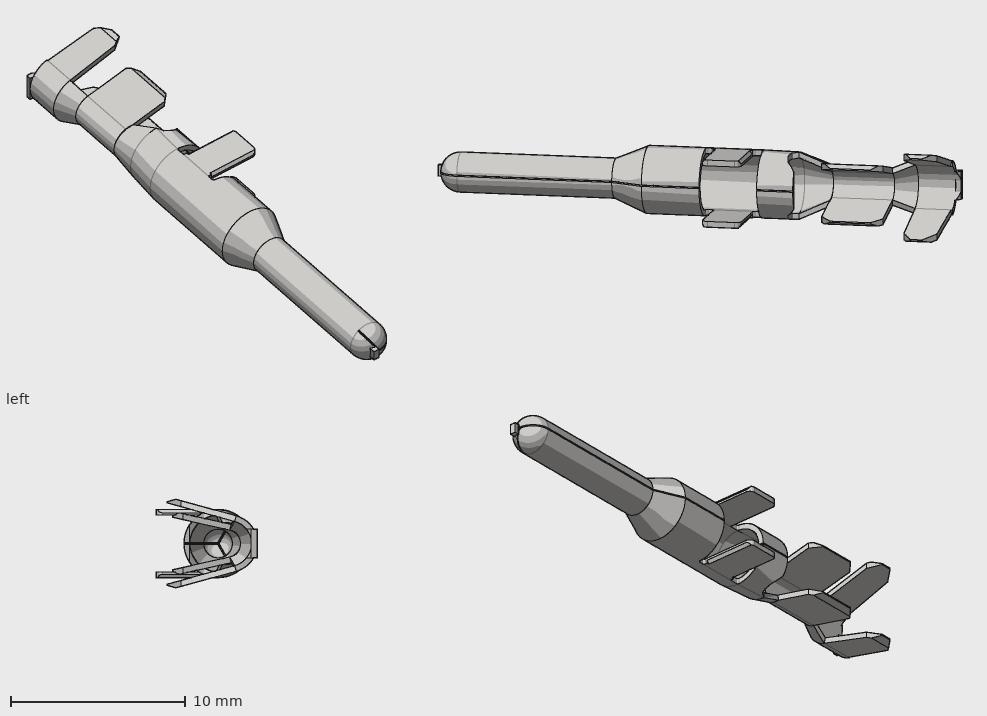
import cadquery as cq
import math


sheet = 0.34
seam_gap = 0.08
petal_gap = 0.07

insulation_start = 0.32
insulation_end = 2.50
wire_start = 3.76
wire_end = 7.34
collar_start = 9.05
collar_end = 11.16
tab_start = 11.77
tab_end = 14.07
window_end = 14.53
cone_start = 17.90
cone_end = 19.80
overall_length = 30.23

tube_radius = 1.96
pin_radius = 1.16
dome_tip = 30.02
dome_start = dome_tip - pin_radius

insulation_radius = 1.65
insulation_bottom = -2.25
insulation_tilt = math.radians(15.35)
insulation_tip = 2.92
insulation_bevel = 0.50
insulation_lean = 0.26
insulation_front_shoulder = 2.12
insulation_rear_shoulder = 2.19
insulation_tip_start = 1.28
insulation_tip_end = 1.98
wire_radius = 1.125
wire_bottom = -1.62
wire_tilt = math.radians(12.6)
wire_tip = 2.62
wire_bevel = 0.39
wire_chamfer = 0.60
bevel_depth = 0.27

funnel_low_edge = -0.25
funnel_half_width = 1.20
collar_bottom = -1.75
funnel_high_edge = 0.13
bite_top = 1.64
bite_upper_corner = (9.42, 1.25)
bite_middle = (9.56, 0.80)
bite_lower_corner = (9.42, 0.36)

tab_height = 3.55
tab_corner = 0.36
tab_bevel_width = 0.14
tab_bevel_depth = 0.20
window_floor = 0.0
window_corner = 0.12

tail_half_width = 0.82
tail_top = -1.87
tail_slope_top = -1.57
nub_half_width = 0.32
nub_bottom = -0.52
nub_top = -0.15
nub_root = 29.70


def box(x0, x1, y0, y1, z0, z1):
    """Box between two opposite corners."""
    return cq.Workplane("XY").box(x1 - x0, y1 - y0, z1 - z0, centered=False).translate((x0, y0, z0))


def section_plane(x):
    """Plane across the part at x, with local axes along Y and Z."""
    return cq.Workplane("YZ", origin=(x, 0, 0))


def side_prism(points):
    """X-Y outline extruded through the whole part along Z."""
    return cq.Workplane("XY").polyline(points).close().extrude(2 * tube_radius, both=True)


def arc_strip(plane, center, radius, end_angle):
    """Closed outline of a curved strip of sheet, open towards +Y.

    end_angle is measured from the -Y direction to each end of the strip.
    """
    inner = radius - sheet

    def at(r, angle):
        return (center - r * math.cos(angle), r * math.sin(angle))

    return (
        plane.moveTo(*at(radius, -end_angle))
        .threePointArc(at(radius, 0), at(radius, end_angle))
        .lineTo(*at(inner, end_angle))
        .threePointArc(at(inner, 0), at(inner, -end_angle))
        .close()
    )


def strip_loft(x0, strip0, x1, strip1):
    """Wall running straight from one curved strip to another."""
    start = arc_strip(section_plane(x0), *strip0)
    return arc_strip(start.workplane(offset=x1 - x0), *strip1).loft(ruled=True)


def barrel_strip(radius, bottom, tilt):
    """Curved part of a crimp barrel, ending where the wings leave it."""
    return (bottom + radius, radius, math.pi / 2 - tilt)


def strip_through(bottom, edge, half_width):
    """Curved strip through a lowest point and two edge points."""
    rise = edge - bottom
    radius = (rise**2 + half_width**2) / (2 * rise)
    center = bottom + radius
    return (center, radius, math.atan2(half_width, center - edge))


def wing(radius, bottom, tilt, tip, bevel):
    """Section of the +Z wing with its outer tip edge beveled."""
    center = bottom + radius
    inner = radius - sheet
    slope = math.tan(tilt)

    def surface(r, y):
        return (y, r / math.cos(tilt) + (y - center) * slope)

    def root(r):
        return surface(r, center - r * math.sin(tilt))

    bevel_tip = surface(radius - bevel_depth, tip)
    return [root(inner), root(radius), surface(radius, tip - bevel), bevel_tip, surface(inner, tip)]


def crimp_barrel(x0, x1, shape, tip, bevel, wing_outline):
    """U-shaped barrel whose two wings are trimmed to a side outline."""
    barrel = arc_strip(section_plane(x0), *barrel_strip(*shape)).extrude(x1 - x0)
    upper = section_plane(x0).polyline(wing(*shape, tip, bevel)).close().extrude(x1 - x0)
    wings = upper.union(upper.mirror("XY"))
    return barrel.union(wings.intersect(side_prism(wing_outline)))


insulation_shape = (insulation_radius, insulation_bottom, insulation_tilt)
wire_shape = (wire_radius, wire_bottom, wire_tilt)


def insulation_barrel():
    outline = [
        (insulation_start, insulation_bottom),
        (insulation_start + insulation_lean, insulation_front_shoulder),
        (insulation_tip_start, insulation_tip),
        (insulation_tip_end, insulation_tip),
        (insulation_end, insulation_rear_shoulder),
        (insulation_end, insulation_bottom),
    ]
    return crimp_barrel(
        insulation_start, insulation_end, insulation_shape, insulation_tip, insulation_bevel, outline
    )


def wire_barrel():
    outline = [
        (wire_start, wire_bottom),
        (wire_start, wire_tip - wire_chamfer),
        (wire_start + wire_chamfer, wire_tip),
        (wire_end - wire_chamfer, wire_tip),
        (wire_end, wire_tip - wire_chamfer),
        (wire_end, wire_bottom),
    ]
    return crimp_barrel(wire_start, wire_end, wire_shape, wire_tip, wire_bevel, outline)


def tail():
    """Cut-off stub: a square block with a sloped remnant of the barrel wall."""
    block = box(0, insulation_start, insulation_bottom, tail_top, -tail_half_width, tail_half_width)
    wall = arc_strip(section_plane(0), *barrel_strip(*insulation_shape)).extrude(insulation_start)
    width_limit = box(0, insulation_start, insulation_bottom, 0, -tail_half_width, tail_half_width)
    slope = [
        (0, insulation_bottom),
        (0, tail_top),
        (insulation_start, tail_slope_top),
        (insulation_start, insulation_bottom),
    ]
    return block.union(wall.intersect(width_limit).intersect(side_prism(slope)))


def rolled_shell():
    """Hollow tube, cone, pin and dome as one revolved wall."""
    inner_tube = tube_radius - sheet
    inner_pin = pin_radius - sheet
    diagonal = math.sqrt(0.5)
    profile = (
        cq.Workplane("XY")
        .moveTo(collar_end, inner_tube)
        .lineTo(collar_end, tube_radius)
        .lineTo(cone_start, tube_radius)
        .lineTo(cone_end, pin_radius)
        .lineTo(dome_start, pin_radius)
        .threePointArc((dome_start + pin_radius * diagonal, pin_radius * diagonal), (dome_tip, 0))
        .lineTo(dome_tip - sheet, 0)
        .threePointArc((dome_start + inner_pin * diagonal, inner_pin * diagonal), (dome_start, inner_pin))
        .lineTo(cone_end, inner_pin)
        .lineTo(cone_start, inner_tube)
        .close()
    )
    return profile.revolve(360, (0, 0, 0), (1, 0, 0))


def window_gap(x0, x1):
    """Round-cornered gap through the +Y half of the tube beside a lock tab."""
    reach = 2 * tube_radius
    return box(x0, x1, window_floor, reach, -reach, reach).edges("|Z and <Y").fillet(window_corner)


def lock_window():
    """Opening in the +Y half of the tube that leaves room for the lock tabs."""
    reach = 2 * tube_radius
    between_gaps = box(tab_start, tab_end, window_floor, reach, -reach, reach)
    return between_gaps.union(window_gap(collar_end, tab_start)).union(window_gap(tab_end, window_end))


def lock_tabs():
    """Two upright tabs, beveled along their outer side edges."""
    upper = box(tab_start, tab_end, window_floor, tab_height, tube_radius - sheet, tube_radius)
    upper = upper.edges("|Z and >Y").fillet(tab_corner)
    beveled_part = box(tab_start, tab_end, 2 * window_corner, tab_height, 0, tube_radius)
    for x, inward in ((tab_start, 1), (tab_end, -1)):
        bevel = (
            cq.Workplane("XZ")
            .moveTo(x, tube_radius - tab_bevel_depth)
            .lineTo(x, tube_radius)
            .lineTo(x + inward * tab_bevel_width, tube_radius)
            .close()
            .extrude(-tab_height)
        )
        upper = upper.cut(bevel.intersect(beveled_part))
    return upper.union(upper.mirror("XY"))


def collar():
    """Ring ahead of the tube with a bite out of each side of its leading edge."""
    tube_strip = (0, tube_radius, math.pi / 2)
    lower_strip = strip_through(collar_bottom, funnel_high_edge, tube_radius)
    upper_strip = strip_through(-tube_radius, -funnel_high_edge, tube_radius)
    lower = strip_loft(collar_start, lower_strip, collar_end, tube_strip)
    upper = strip_loft(collar_start, upper_strip, collar_end, tube_strip).mirror("XZ")
    bite = (
        cq.Workplane("XY")
        .moveTo(collar_start, bite_top)
        .lineTo(*bite_upper_corner)
        .threePointArc(bite_middle, bite_lower_corner)
        .lineTo(collar_start, funnel_high_edge)
        .close()
        .extrude(2 * tube_radius, both=True)
    )
    return lower.union(upper).cut(bite)


def petal_slits():
    """Two slits in the dome, a third of a turn to each side of the seam."""
    slit = box(dome_start, dome_tip, 0, 2 * pin_radius, -petal_gap / 2, petal_gap / 2)
    third_turn = 360 / 3
    axis = ((0, 0, 0), (1, 0, 0))
    return slit.rotate(*axis, third_turn).union(slit.rotate(*axis, -third_turn))


insulation_strip = barrel_strip(*insulation_shape)
wire_strip = barrel_strip(*wire_shape)
neck = strip_loft(insulation_end, insulation_strip, wire_start, wire_strip)
funnel = strip_loft(
    wire_end, strip_through(wire_bottom, funnel_low_edge, funnel_half_width),
    collar_start, strip_through(collar_bottom, funnel_high_edge, tube_radius),
)
seam = box(collar_start, dome_tip, 0, 2 * tube_radius, -seam_gap / 2, seam_gap / 2)
nub = box(nub_root, overall_length, nub_bottom, nub_top, -nub_half_width, nub_half_width)

result = rolled_shell().cut(lock_window()).union(collar()).cut(seam).cut(petal_slits())
for piece in (lock_tabs(), funnel, wire_barrel(), neck, insulation_barrel(), tail(), nub):
    result = result.union(piece)